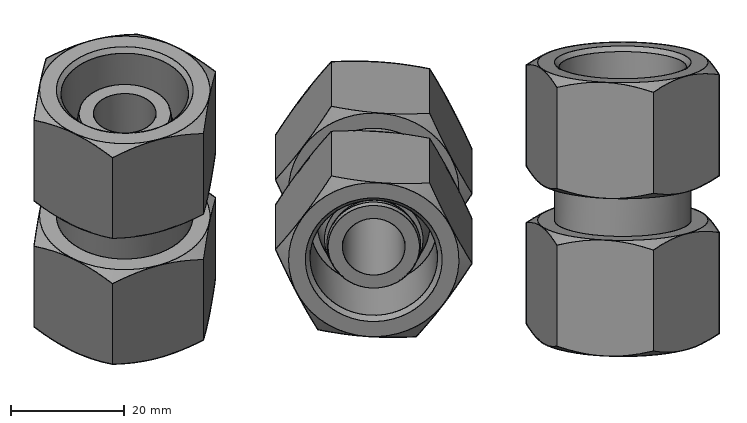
import cadquery as cq
import math

total_height = 49.5
across_flats = 30.0
nut_height = 21.0
body_diameter = 24.0
bore_diameter = 11.0

chamfer_circle = 29.9
chamfer_angle = 30.0

mouth_diameter = 24.0
thread_diameter = 22.35
mouth_chamfer_angle = 45.0

tip_depth = 5.3
tip_diameter = 16.05
cone_base_diameter = 19.7
cone_half_angle = 12.0

groove_offset = 1.0
groove_width = 2.0
groove_floor_diameter = 15.35


def taper_length(large_diameter, small_diameter, half_angle):
    """Axial length of a cone between two diameters."""
    return (large_diameter - small_diameter) / 2 / math.tan(math.radians(half_angle))


def revolve_profile(points):
    """Turn a closed (radius, height) profile about Z."""
    return cq.Workplane("XZ").polyline(points).close().revolve(360, (0, 0), (0, 1))


def hex_nut(base):
    """Hexagon with flats facing +X and -X, corners chamfered at both ends."""
    across_corners = across_flats / math.cos(math.radians(30))
    corner_radius = across_corners / 2
    end_radius = chamfer_circle / 2
    drop = (corner_radius - end_radius) * math.tan(math.radians(chamfer_angle))
    hexagon = (
        cq.Workplane("XY", origin=(0, 0, base))
        .transformed(rotate=(0, 0, 30))
        .polygon(6, across_corners)
        .extrude(nut_height)
    )
    envelope = revolve_profile([
        (0, base),
        (end_radius, base),
        (corner_radius, base + drop),
        (corner_radius, base + nut_height - drop),
        (end_radius, base + nut_height),
        (0, base + nut_height),
    ])
    return hexagon.intersect(envelope)


def mouth_cavity():
    """Space inside the upper nut, around and above the grooved sealing cone."""
    mouth_depth = taper_length(mouth_diameter, thread_diameter, 90 - mouth_chamfer_angle)
    slope = math.tan(math.radians(cone_half_angle))
    tip_z = total_height - tip_depth
    floor_z = tip_z - taper_length(cone_base_diameter, tip_diameter, cone_half_angle)
    groove_top_z = tip_z - groove_offset
    groove_bottom_z = groove_top_z - groove_width
    tip_radius = tip_diameter / 2
    groove_radius = groove_floor_diameter / 2
    return revolve_profile([
        (0, total_height),
        (mouth_diameter / 2, total_height),
        (thread_diameter / 2, total_height - mouth_depth),
        (thread_diameter / 2, floor_z),
        (cone_base_diameter / 2, floor_z),
        (tip_radius + (tip_z - groove_bottom_z) * slope, groove_bottom_z),
        (groove_radius, groove_bottom_z),
        (groove_radius, groove_top_z),
        (tip_radius + groove_offset * slope, groove_top_z),
        (tip_radius, tip_z),
        (0, tip_z),
    ])


body = cq.Workplane("XY").circle(body_diameter / 2).extrude(total_height)
nuts = hex_nut(0).union(hex_nut(total_height - nut_height))
bore = cq.Workplane("XY").circle(bore_diameter / 2).extrude(total_height)

upper_cavity = mouth_cavity()
lower_cavity = upper_cavity.mirror("XY", (0, 0, total_height / 2))

result = nuts.union(body).cut(upper_cavity).cut(lower_cavity).cut(bore)